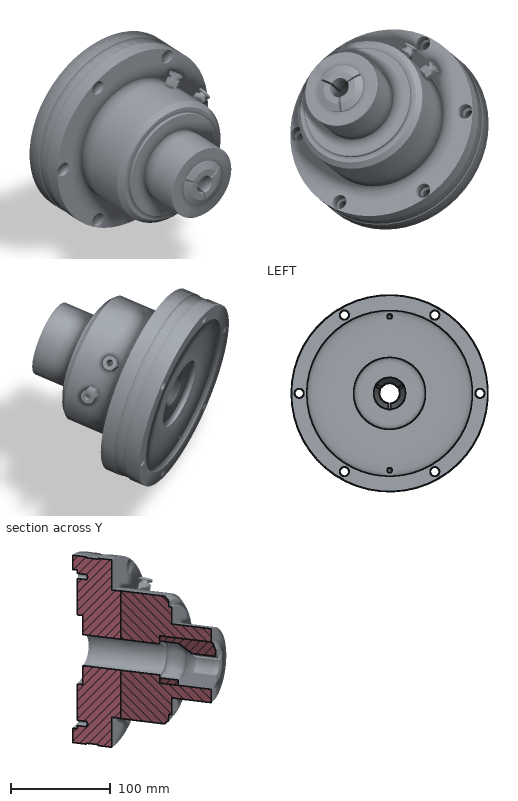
import cadquery as cq
import math


flange_diameter = 197.0
flange_length = 43.0
groove_diameter = 195.0
groove_start = 15.5
groove_end = 28.0
mount_recess_diameter = 166.0
mount_recess_depth = 5.0
center_recess_diameter = 72.0
center_recess_depth = 11.0
bore_diameter = 32.0
parting_x = 53.0
boss_diameter = 134.0

bolt_count = 6
bolt_circle_radius = 90.5
bolt_hole_diameter = 9.0
bolt_head_diameter = 15.0
bolt_head_depth = 10.0

pin_hole_offset = 77.0
pin_hole_diameter = 5.0
pin_hole_depth = 10.0
drill_tip_angle = 118.0

body_diameter = 134.5
body_front = 105.0
body_chamfer = 5.0
collar_diameter = 113.5
collar_length = 3.0
nose_diameter = 78.0
nose_length = 43.0
edge_chamfer = 0.5
collar_front = body_front + collar_length
nose_front = collar_front + nose_length

collet_diameter = 49.0
collet_rear = 95.0
collet_rim_length = 1.3
collet_tip_diameter = 34.0
collet_front = 155.5
collet_rear_bore_diameter = 38.0
collet_grip_diameter = 20.0
collet_taper_start = 115.0
collet_taper_length = 15.0
slot_width = 2.0
slot_angles = (30.0, 150.0, 270.0)

fitting_places = ((73.0, 30.0), (63.0, 60.0))
hex_corner_diameter = 14.0
hex_height = 7.5
hex_chamfer_width = 1.0
hex_chamfer_height = 0.6
ring_diameter = 10.0
ring_height = 1.0
neck_diameter = 8.0
neck_height = 2.5
head_diameter = 14.0
head_height = 2.0
tube_hole_diameter = 7.0
tube_hole_depth = 12.0
stem_diameter = 8.5
stem_length = 8.0


def rod(diameter, start, end, y=0.0, z=0.0):
    """Cylinder along X between two x positions."""
    return cq.Workplane("YZ", origin=(start, y, z)).circle(diameter / 2).extrude(end - start)


def revolve_about_x(profile):
    """Turn a list of (x, radius) points about the X axis."""
    return cq.Workplane("XY").polyline(profile).close().revolve(360, (0, 0, 0), (1, 0, 0))


def fitting_frame(x, angle):
    """Workplane on the body surface, facing outwards along the fitting axis."""
    radians = math.radians(angle)
    radial = (0, math.cos(radians), math.sin(radians))
    foot = tuple(body_diameter / 2 * part for part in radial)
    plane = cq.Plane(origin=(x, foot[1], foot[2]), xDir=(1, 0, 0), normal=radial)
    return cq.Workplane(plane)


def make_back_plate():
    plate = rod(flange_diameter, 0, flange_length)
    groove = rod(flange_diameter, groove_start, groove_end)
    groove = groove.cut(rod(groove_diameter, groove_start, groove_end))
    plate = plate.cut(groove)
    plate = plate.union(rod(boss_diameter, flange_length, parting_x))
    plate = plate.cut(rod(mount_recess_diameter, 0, mount_recess_depth))
    plate = plate.cut(rod(center_recess_diameter, 0, center_recess_depth))
    plate = plate.cut(rod(bore_diameter, 0, parting_x))

    for index in range(bolt_count):
        angle = 2 * math.pi * index / bolt_count
        y = bolt_circle_radius * math.cos(angle)
        z = bolt_circle_radius * math.sin(angle)
        plate = plate.cut(rod(bolt_hole_diameter, 0, flange_length, y, z))
        plate = plate.cut(rod(bolt_head_diameter, flange_length - bolt_head_depth, flange_length, y, z))

    pin_radius = pin_hole_diameter / 2
    shoulder_x = mount_recess_depth + pin_hole_depth
    tip_x = shoulder_x + pin_radius / math.tan(math.radians(drill_tip_angle / 2))
    drill = revolve_about_x([(0, 0), (0, pin_radius), (shoulder_x, pin_radius), (tip_x, 0)])
    for z in (-pin_hole_offset, pin_hole_offset):
        plate = plate.cut(drill.translate((0, 0, z)))
    return plate


def make_housing():
    housing = rod(body_diameter, parting_x, body_front).faces(">X").chamfer(body_chamfer)
    housing = housing.union(rod(collar_diameter, body_front, collar_front).faces(">X").chamfer(edge_chamfer))
    housing = housing.union(rod(nose_diameter, collar_front, nose_front).faces(">X").chamfer(edge_chamfer))
    housing = housing.cut(rod(bore_diameter, parting_x, collet_rear))
    housing = housing.cut(rod(collet_diameter, collet_rear, nose_front))
    for x, angle in fitting_places:
        housing = housing.cut(fitting_frame(x, angle).circle(stem_diameter / 2).extrude(-stem_length))
    return housing


def make_collet():
    outer_radius = collet_diameter / 2
    rear_bore_radius = collet_rear_bore_diameter / 2
    grip_radius = collet_grip_diameter / 2
    collet = revolve_about_x([
        (collet_rear, rear_bore_radius),
        (collet_rear, outer_radius),
        (nose_front + collet_rim_length, outer_radius),
        (collet_front, collet_tip_diameter / 2),
        (collet_front, grip_radius),
        (collet_taper_start + collet_taper_length, grip_radius),
        (collet_taper_start, rear_bore_radius),
    ])
    slot_length = collet_front - collet_taper_start
    slot = cq.Workplane("XY").box(slot_length, collet_diameter, slot_width, centered=(False, False, True))
    slot = slot.translate((collet_taper_start, 0, 0))
    for angle in slot_angles:
        collet = collet.cut(slot.rotate((0, 0, 0), (1, 0, 0), angle))
    return collet


def make_fitting(x, angle):
    frame = fitting_frame(x, angle)
    neck_base = hex_height + ring_height
    head_base = neck_base + neck_height
    top = head_base + head_height

    turned_blank = frame.circle(hex_corner_diameter / 2).extrude(hex_height)
    turned_blank = turned_blank.faces(cq.selectors.DirectionMinMaxSelector(frame.plane.zDir))
    turned_blank = turned_blank.chamfer(hex_chamfer_height, hex_chamfer_width)
    fitting = frame.polygon(6, hex_corner_diameter).extrude(hex_height).intersect(turned_blank)

    fitting = fitting.union(
        frame.workplane(offset=hex_height).circle(ring_diameter / 2).extrude(ring_height))
    fitting = fitting.union(frame.workplane(offset=neck_base).circle(neck_diameter / 2).extrude(neck_height))
    fitting = fitting.union(frame.workplane(offset=head_base).circle(head_diameter / 2).extrude(head_height))
    fitting = fitting.union(frame.circle(stem_diameter / 2).extrude(-stem_length))
    tube_hole = frame.workplane(offset=top).circle(tube_hole_diameter / 2).extrude(-tube_hole_depth)
    return fitting.cut(tube_hole)


back_plate = make_back_plate()
housing = make_housing()
collet = make_collet()
fittings = [make_fitting(x, angle) for x, angle in fitting_places]

result = cq.Compound.makeCompound([
    back_plate.val(),
    housing.val(),
    collet.val(),
    *[fitting.val() for fitting in fittings],
])